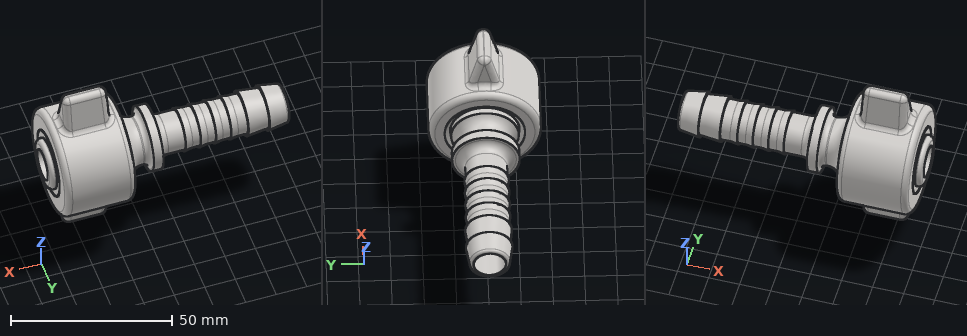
import cadquery as cq
import math

length = 79.0
tip_x = -length / 2
tail_x = length / 2

diagonal = math.sqrt(0.5)

bore_r = 10.0 / 2
barrel_r = 13.0 / 2
tip_face_r = 5.4
tip_shoulder_r = 6.3
tip_round_length = 0.9
barb_r = 7.3
barb_ends = [tip_x + 6.95, tip_x + 13.9]
ring_r = 6.95
ring_length = 2.4
ring_pitch = 5.0
ring_count = 4
first_ring_end = tip_x + 19.4

flange_r = 21.0 / 2
flange_front = tip_x + 42.9
flange_back = tip_x + 46.05
flange_fillet = 2.9
neck_r = 15.5 / 2
neck_front_fillet = 2.0
neck_back_start = tip_x + 48.4
collar_front = tip_x + 52.9
tail_r = 8.2
tail_fillet = 1.5

nut_r = 35.0 / 2
nut_front = tip_x + 53.95
nut_back = tip_x + 77.0
nut_fillet = 2.0
nut_bore_r = 21.5 / 2
nut_mouth_r = 25.0 / 2
nut_mouth_depth = 1.0

wing_tip_z = 58.0 / 2
wing_root_z = 14.2
wing_center_x = tip_x + 65.5
wing_tip_length = 14.2
wing_tip_width = 3.5
wing_end_taper = math.radians(1.7)
wing_side_taper = math.radians(14.8)
wing_round = 2.1
wing_root_fillet = 2.0


def tangent_arc_rise(run, radius):
    """Radial rise of an arc that leaves a cylinder tangentially, after a given run along X."""
    return radius - math.sqrt(radius**2 - run**2)


def make_nipple():
    """Revolve the barbed hose nipple around the X axis."""
    profile = (
        cq.Workplane("XY")
        .moveTo(tip_x, bore_r)
        .lineTo(tip_x, tip_face_r)
        .threePointArc(
            (
                tip_x + tip_round_length * (1 - diagonal),
                tip_face_r + (tip_shoulder_r - tip_face_r) * diagonal,
            ),
            (tip_x + tip_round_length, tip_shoulder_r),
        )
    )
    for barb_end in barb_ends:
        profile = profile.lineTo(barb_end, barb_r).lineTo(barb_end, barrel_r)
    for i in range(ring_count):
        ring_end = first_ring_end + i * ring_pitch
        profile = (
            profile.lineTo(ring_end - ring_length, barrel_r)
            .lineTo(ring_end, ring_r)
            .lineTo(ring_end, barrel_r)
        )
    profile = (
        profile.lineTo(flange_front - flange_fillet, barrel_r)
        .threePointArc(
            (
                flange_front - flange_fillet * (1 - diagonal),
                barrel_r + flange_fillet * (1 - diagonal),
            ),
            (flange_front, barrel_r + flange_fillet),
        )
        .lineTo(flange_front, flange_r)
        .lineTo(flange_back, flange_r)
    )
    neck_run = collar_front - neck_back_start
    neck_rise = flange_r - neck_r
    neck_back_fillet = (neck_run**2 + neck_rise**2) / (2 * neck_rise)
    neck_mid_run = neck_run / 2
    profile = (
        profile.lineTo(flange_back, neck_r + neck_front_fillet)
        .threePointArc(
            (
                flange_back + neck_front_fillet * (1 - diagonal),
                neck_r + neck_front_fillet * (1 - diagonal),
            ),
            (flange_back + neck_front_fillet, neck_r),
        )
        .lineTo(neck_back_start, neck_r)
        .threePointArc(
            (
                neck_back_start + neck_mid_run,
                neck_r + tangent_arc_rise(neck_mid_run, neck_back_fillet),
            ),
            (collar_front, flange_r),
        )
    )
    profile = (
        profile.lineTo(nut_back, flange_r)
        .lineTo(nut_back, tail_r)
        .lineTo(tail_x - tail_fillet, tail_r)
        .threePointArc(
            (
                tail_x - tail_fillet * (1 - diagonal),
                tail_r - tail_fillet * (1 - diagonal),
            ),
            (tail_x, tail_r - tail_fillet),
        )
        .lineTo(tail_x, bore_r)
        .close()
    )
    return profile.revolve(360, (0, 0, 0), (1, 0, 0))


def make_wing():
    """Upper wing: a tapered block with rounded edges, its root buried in the nut."""
    height = wing_tip_z - wing_root_z
    root_length = wing_tip_length + 2 * height * math.tan(wing_end_taper)
    root_width = wing_tip_width + 2 * height * math.tan(wing_side_taper)
    return (
        cq.Workplane("XY", origin=(wing_center_x, 0, wing_root_z))
        .rect(root_length, root_width)
        .workplane(offset=height)
        .rect(wing_tip_length, wing_tip_width)
        .loft(combine=True)
        .edges("not <Z")
        .fillet(wing_round)
    )


def make_nut():
    """Round nut with two opposite wings, a through bore and a conical mouth."""
    nut_length = nut_back - nut_front
    body = (
        cq.Workplane("YZ", origin=(nut_front, 0, 0))
        .circle(nut_r)
        .extrude(nut_length)
        .faces("<X or >X")
        .edges()
        .fillet(nut_fillet)
    )
    wing = make_wing()
    for angle in (0, 180):
        body = body.union(wing.rotate((0, 0, 0), (1, 0, 0), angle))

    seam_box = cq.selectors.BoxSelector(
        (nut_front + nut_fillet / 2, -nut_r / 2, -nut_r - nut_fillet),
        (nut_back - nut_fillet / 2, nut_r / 2, nut_r + nut_fillet),
    )
    body = body.edges(seam_box).fillet(wing_root_fillet)

    bore = cq.Workplane("YZ", origin=(nut_front, 0, 0)).circle(nut_bore_r).extrude(nut_length)
    mouth = (
        cq.Workplane("XY")
        .moveTo(nut_front, 0)
        .lineTo(nut_front, nut_mouth_r)
        .lineTo(nut_front + nut_mouth_depth, nut_bore_r)
        .lineTo(nut_front + nut_mouth_depth, 0)
        .close()
        .revolve(360, (0, 0, 0), (1, 0, 0))
    )
    return body.cut(bore).cut(mouth)


nipple = make_nipple()
nut = make_nut()

result = cq.Compound.makeCompound([nipple.val(), *nut.vals()])